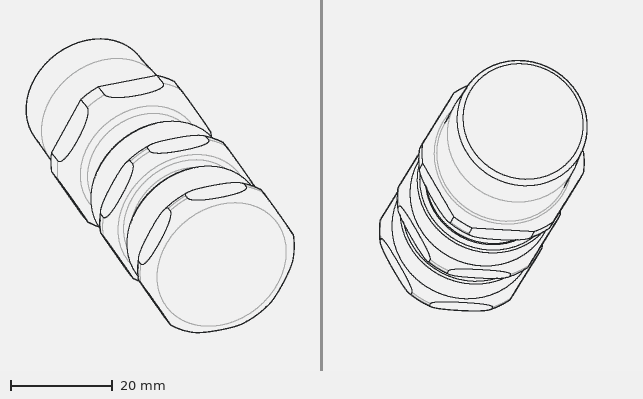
import cadquery as cq
import math

TOTAL_LENGTH = 72.75
ACROSS_FLATS = 30.0
HEX_CORNER_RADIUS = 32.45 / 2
COLLAR_RADIUS = 28.5 / 2
NECK_RADIUS = 23.3 / 2
SPIGOT_RADIUS = 25.4 / 2
NECK_FILLET = 1.1
COLLAR_CHAMFER = 0.45

ENTRY_RADIUS = 26.7 / 2
ENTRY_TIP_RADIUS = 13.0
TIP_CHAMFER = 1.0
TAPER_END = 10.1
ENTRY_HEX_START = 22.4
ENTRY_ROOT_FILLET = 0.45
ENTRY_HEX_LENGTH = 6.9

MIDDLE_START = 38.4
MIDDLE_HEX_START = 46.9
MIDDLE_HEX_END = 52.45
MIDDLE_HEX_BACK_ROUND = 2.3

NUT_START = 57.7
NUT_HEX_START = 67.2
NUT_HEX_BACK_ROUND = 2.55

LEAD_IN = SPIGOT_RADIUS - NECK_RADIUS
ENTRY_SPIGOT_EXPOSED = 1.75
MIDDLE_SPIGOT_EXPOSED = 0.3

ENTRY_HEX_ROUND = HEX_CORNER_RADIUS - NECK_RADIUS - NECK_FILLET

HEX_FRONT_ROUND = HEX_CORNER_RADIUS - COLLAR_RADIUS

ARC_MIDDLE = math.sqrt(0.5)


def revolve(outline):
    """Close an outline of (x, radius) points onto the X axis and turn it about that axis."""
    return outline.close().revolve(360, (0, 0, 0), (1, 0, 0))


def start_collar(start):
    """Begin an outline on the axis and trace a chamfered collar face."""
    return (
        cq.Workplane("XY")
        .moveTo(start, 0)
        .lineTo(start, COLLAR_RADIUS - COLLAR_CHAMFER)
        .lineTo(start + COLLAR_CHAMFER, COLLAR_RADIUS)
    )


def round_up(outline, start, low_radius, size):
    """Add a convex quarter round rising from low_radius."""
    middle = (start + size * (1 - ARC_MIDDLE), low_radius + size * ARC_MIDDLE)
    return outline.threePointArc(middle, (start + size, low_radius + size))


def round_down(outline, end, high_radius, size):
    """Add a straight run at high_radius and a convex quarter round that drops to the face at end."""
    middle = (end - size * (1 - ARC_MIDDLE), high_radius - size * (1 - ARC_MIDDLE))
    return outline.lineTo(end - size, high_radius).threePointArc(middle, (end, high_radius - size))


def neck_and_spigot(outline, start, mating_face, exposed, spigot_end):
    """Add a neck whose fillet begins at the current point, a lead-in cone and a spigot."""
    fillet_middle = NECK_FILLET * (1 - ARC_MIDDLE)
    cone_start = mating_face - exposed
    return (
        outline.threePointArc(
            (start + fillet_middle, NECK_RADIUS + fillet_middle),
            (start + NECK_FILLET, NECK_RADIUS),
        )
        .lineTo(cone_start, NECK_RADIUS)
        .lineTo(cone_start + LEAD_IN, SPIGOT_RADIUS)
        .lineTo(spigot_end, SPIGOT_RADIUS)
        .lineTo(spigot_end, 0)
    )


def cut_flats(body, start, end):
    """Trim the length from start to end to a hexagon with two flats facing +Z and -Z."""
    hexagon_diameter = ACROSS_FLATS / math.cos(math.pi / 6)
    trim = (
        cq.Workplane("YZ", origin=(start, 0, 0))
        .circle(hexagon_diameter)
        .polygon(6, hexagon_diameter)
        .extrude(end - start)
    )
    return body.cut(trim)


def make_entry_body():
    hex_end = ENTRY_HEX_START + ENTRY_HEX_LENGTH
    root_middle = ENTRY_ROOT_FILLET * (1 - ARC_MIDDLE)
    outline = (
        cq.Workplane("XY")
        .lineTo(0, ENTRY_TIP_RADIUS - TIP_CHAMFER)
        .lineTo(TIP_CHAMFER, ENTRY_TIP_RADIUS)
        .lineTo(TAPER_END, ENTRY_RADIUS)
        .lineTo(ENTRY_HEX_START - ENTRY_ROOT_FILLET, ENTRY_RADIUS)
        .threePointArc(
            (ENTRY_HEX_START - root_middle, ENTRY_RADIUS + root_middle),
            (ENTRY_HEX_START, ENTRY_RADIUS + ENTRY_ROOT_FILLET),
        )
        .lineTo(ENTRY_HEX_START, HEX_CORNER_RADIUS)
    )
    outline = round_down(outline, hex_end, HEX_CORNER_RADIUS, ENTRY_HEX_ROUND)
    outline = neck_and_spigot(outline, hex_end, MIDDLE_START, ENTRY_SPIGOT_EXPOSED, MIDDLE_HEX_START)
    return cut_flats(revolve(outline), ENTRY_HEX_START, hex_end)


def make_middle_body(entry_body):
    outline = start_collar(MIDDLE_START).lineTo(MIDDLE_HEX_START, COLLAR_RADIUS)
    outline = round_up(outline, MIDDLE_HEX_START, COLLAR_RADIUS, HEX_FRONT_ROUND)
    outline = round_down(outline, MIDDLE_HEX_END, HEX_CORNER_RADIUS, MIDDLE_HEX_BACK_ROUND)
    outline = outline.lineTo(MIDDLE_HEX_END, NECK_RADIUS + NECK_FILLET)
    outline = neck_and_spigot(outline, MIDDLE_HEX_END, NUT_START, MIDDLE_SPIGOT_EXPOSED, NUT_HEX_START)
    body = cut_flats(revolve(outline), MIDDLE_HEX_START, MIDDLE_HEX_END)
    return body.cut(entry_body)


def make_end_nut(middle_body):
    outline = start_collar(NUT_START).lineTo(NUT_HEX_START, COLLAR_RADIUS)
    outline = round_up(outline, NUT_HEX_START, COLLAR_RADIUS, HEX_FRONT_ROUND)
    outline = round_down(outline, TOTAL_LENGTH, HEX_CORNER_RADIUS, NUT_HEX_BACK_ROUND)
    nut = revolve(outline.lineTo(TOTAL_LENGTH, 0))
    return cut_flats(nut, NUT_HEX_START, TOTAL_LENGTH).cut(middle_body)


entry_body = make_entry_body()
middle_body = make_middle_body(entry_body)
end_nut = make_end_nut(middle_body)

result = cq.Compound.makeCompound([entry_body.val(), middle_body.val(), end_nut.val()])